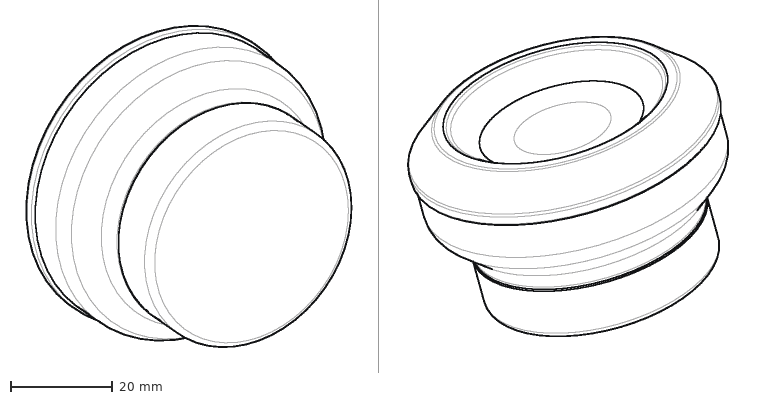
import cadquery as cq
import math

AXIS_START = (0, 0, 0)
AXIS_END = (1, 0, 0)
COS_45 = math.cos(math.radians(45))

length = 40.0
ring_radius = 31.6

ring_length = 9.1
front_cone_radius = 25.05
front_edge_fillet = 0.8
crest_fillet = 0.8
rear_edge_fillet = 0.6
mouth_radius = 22.8
mouth_edge_radius = 22.3
mouth_edge_depth = 0.3
lip_radius = 21.55
lip_depth = 0.9

plug_radius = 16.7
dish_rim_depth = 5.2
dish_floor_radius = 9.85
dish_floor_depth = 5.8

head_radius = 31.015
head_end = 16.6
shoulder_blend = 5.0
neck_radius = 23.805
collar_radius = 23.995
collar_chamfer_start = 28.6
collar_chamfer_length = 0.3
collar_fillet = 1.45


def make_ring():
    """Front ring with a 45 degree flank and a funnel-shaped opening."""
    half_turn = math.tan(math.radians(22.5))
    front_setback = front_edge_fillet * half_turn
    crest_setback = crest_fillet * half_turn
    crest_corner = ring_radius - front_cone_radius
    profile = (
        cq.Workplane("XY")
        .moveTo(0, mouth_radius)
        .lineTo(0, front_cone_radius - front_setback)
        .radiusArc(
            (front_setback * COS_45, front_cone_radius + front_setback * COS_45),
            front_edge_fillet,
        )
        .lineTo(crest_corner - crest_setback * COS_45, ring_radius - crest_setback * COS_45)
        .radiusArc((crest_corner + crest_setback, ring_radius), crest_fillet)
        .lineTo(ring_length - rear_edge_fillet, ring_radius)
        .radiusArc((ring_length, ring_radius - rear_edge_fillet), rear_edge_fillet)
        .lineTo(ring_length, plug_radius)
        .lineTo(dish_rim_depth, plug_radius)
        .lineTo(lip_depth, lip_radius)
        .lineTo(mouth_edge_depth, mouth_edge_radius)
        .close()
    )
    return profile.revolve(360, AXIS_START, AXIS_END)


def make_knob():
    """Solid knob: dished plug inside the ring, head, sloping shoulder, neck and collar."""
    blend_length = shoulder_blend * COS_45
    blend_drop = shoulder_blend * (1 - COS_45)
    slope_start = (head_end + blend_length, head_radius - blend_drop)
    slope_end_radius = neck_radius + blend_drop
    slope_end = (slope_start[0] + slope_start[1] - slope_end_radius, slope_end_radius)
    neck_start = slope_end[0] + blend_length
    profile = (
        cq.Workplane("XY")
        .moveTo(dish_floor_depth, 0)
        .lineTo(dish_floor_depth, dish_floor_radius)
        .lineTo(dish_rim_depth, plug_radius)
        .lineTo(ring_length, plug_radius)
        .lineTo(ring_length, head_radius)
        .lineTo(head_end, head_radius)
        .radiusArc(slope_start, shoulder_blend)
        .lineTo(*slope_end)
        .radiusArc((neck_start, neck_radius), -shoulder_blend)
        .lineTo(collar_chamfer_start, neck_radius)
        .lineTo(collar_chamfer_start + collar_chamfer_length, collar_radius)
        .lineTo(length - collar_fillet, collar_radius)
        .radiusArc((length, collar_radius - collar_fillet), collar_fillet)
        .lineTo(length, 0)
        .close()
    )
    return profile.revolve(360, AXIS_START, AXIS_END)


ring = make_ring()
knob = make_knob()
result = cq.Compound.makeCompound([ring.val(), knob.val()])